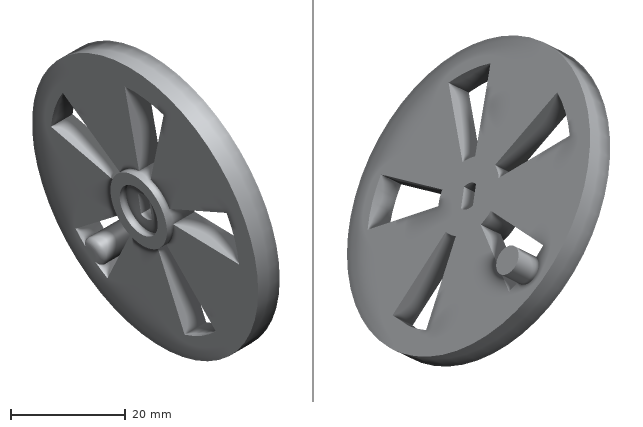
import cadquery as cq
import math

wheel_radius = 29.9
disc_thickness = 5.0
hub_radius = 7.5
hub_height = 1.5
recess_radius = 5.0
recess_depth = 1.5

bore_radius = 2.5
bore_flat_width = 3.0
bore_tilt = 10.7

window_count = 5
window_inner_radius = 0.8 * hub_radius
window_outer_radius = 25.0
window_half_angle = 11.9
first_window_angle = 90.6

peg_radius = 2.75
peg_height = 4.95
peg_fillet = 1.4
peg_window = 2


def cylinder(radius, y_start, y_end, x=0, z=0):
    """Cylinder along Y between two Y positions."""
    plane = cq.Workplane("XZ", origin=(x, y_start, z))
    return plane.circle(radius).extrude(y_start - y_end)


def polar(radius, angle):
    """X and Z of a point given by its radius and angle in degrees."""
    radians = math.radians(angle)
    return radius * math.cos(radians), radius * math.sin(radians)


def window_angle(index):
    return first_window_angle + index * 360 / window_count


def window(angle):
    """Through cutter with radial sides and arcs concentric with the wheel."""
    start = angle - window_half_angle
    end = angle + window_half_angle
    return (
        cq.Workplane("XZ")
        .moveTo(*polar(window_inner_radius, start))
        .lineTo(*polar(window_outer_radius, start))
        .threePointArc(polar(window_outer_radius, angle), polar(window_outer_radius, end))
        .lineTo(*polar(window_inner_radius, end))
        .threePointArc(polar(window_inner_radius, angle), polar(window_inner_radius, start))
        .close()
        .extrude(-disc_thickness)
    )


def shaft_bore():
    """Round hole narrowed by two parallel flats, tilted about the wheel axis."""
    length = hub_height + disc_thickness
    flats = (
        cq.Workplane("XZ", origin=(0, -hub_height, 0))
        .rect(bore_flat_width, 2 * bore_radius)
        .extrude(-length)
    )
    bore = cylinder(bore_radius, -hub_height, disc_thickness).intersect(flats)
    return bore.rotate((0, 0, 0), (0, -1, 0), bore_tilt)


def crank_peg():
    """Peg through the disc, rounded at its front end and standing out behind."""
    x, z = polar(window_outer_radius, window_angle(peg_window))
    peg = cylinder(peg_radius, 0, disc_thickness + peg_height, x, z)
    return peg.faces("<Y").edges().fillet(peg_fillet)


wheel = cylinder(wheel_radius, 0, disc_thickness)
for index in range(window_count):
    wheel = wheel.cut(window(window_angle(index)))

wheel = wheel.union(cylinder(hub_radius, -hub_height, disc_thickness))
wheel = wheel.cut(cylinder(recess_radius, -hub_height, recess_depth - hub_height))
wheel = wheel.cut(shaft_bore())

result = wheel.union(crank_peg())